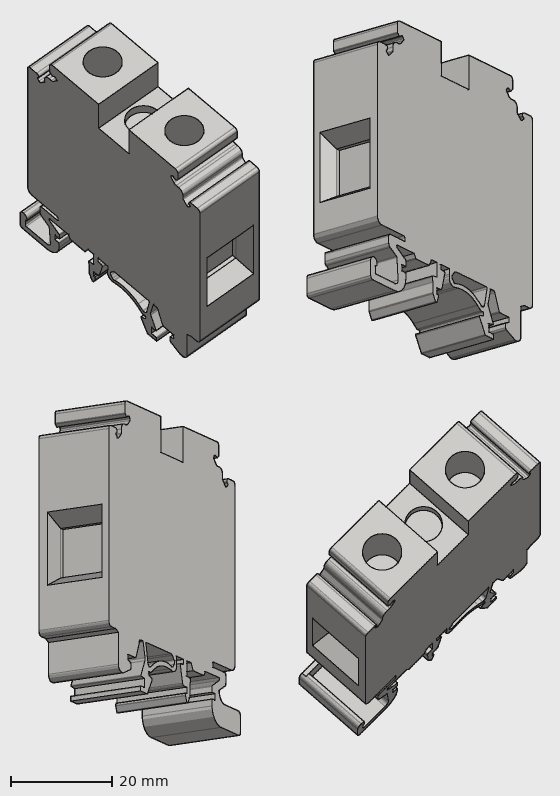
import cadquery as cq
import math

height = 58.0
width = 15.9
body_left = 2.2
body_right = 52.7
body_centre = (body_left + body_right) / 2
mid_width = width / 2

underside = 10.45
root = underside + 0.6

notch_width = 8.9
notch_floor = 50.65

screw_hole_diameter = 7.7
screw_hole_depth = 11.6
screw_hole_spacing = 23.9
bridge_hole_diameter = 7.4
bridge_hole_depth = 2.05

funnel_bottom = 20.5
funnel_top = 35.45
funnel_mouth_width = 12.4
funnel_throat_bottom = 22.8
funnel_throat_top = 32.9
funnel_throat_width = 10.45
funnel_depth = 3.95
funnel_mouth_offset = 0.2
throat_depth = 0.9

tray_wall = 1.05
tray_rim = 5.0
tray_back = 8.5
wall_sweep = 2.3
wall_overlap = 0.85


def rounded_outline(corners):
    """Closed XZ outline from (x, z, corner radius) triples; radius 0 is a sharp corner."""
    path = None
    count = len(corners)
    for i, (x, z, radius) in enumerate(corners):
        corner = cq.Vector(x, z, 0)
        before = cq.Vector(*corners[i - 1][:2], 0)
        after = cq.Vector(*corners[(i + 1) % count][:2], 0)
        back = (before - corner).normalized()
        ahead = (after - corner).normalized()
        half_angle = back.getAngle(ahead) / 2
        reach = radius / math.tan(half_angle)
        start = corner + back * reach
        if path is None:
            path = cq.Workplane("XZ").moveTo(start.x, start.y)
        else:
            path = path.lineTo(start.x, start.y)
        if radius > 0:
            bisector = (back + ahead).normalized()
            middle = corner + bisector * (radius / math.sin(half_angle) - radius)
            end = corner + ahead * reach
            path = path.threePointArc((middle.x, middle.y), (end.x, end.y))
    return path.close()


def across_width(corners):
    """Extrude a rounded outline over the full width, towards +Y."""
    return rounded_outline(corners).extrude(-width)


def make_body():
    shoulder = [
        (body_left, 51.5, 0.8),
        (5.5, 51.5, 0.65),
        (5.5, 50.65, 0.2),
        (5.0, 50.3, 0.2),
        (5.85, 49.4, 0.4),
        (7.2, 50.75, 0.35),
        (7.2, 53.05, 1.35),
        (9.55, 53.05, 0.85),
        (10.85, 54.45, 0.25),
        (10.2, 55.15, 0.3),
        (9.4, 54.65, 0.2),
        (8.7, 55.3, 0.25),
        (8.7, height, 0.75),
    ]
    mirrored_shoulder = [(2 * body_centre - x, z, r) for x, z, r in reversed(shoulder)]
    notch_left = body_centre - notch_width / 2
    notch_right = body_centre + notch_width / 2
    notch = [
        (notch_left, height, 0),
        (notch_left, notch_floor, 0),
        (notch_right, notch_floor, 0),
        (notch_right, height, 0),
    ]
    bottom = [
        (body_right, underside, 1.05),
        (19.85, underside, 0),
        (19.0, 9.0, 0),
        (14.7, 9.0, 0.25),
        (14.15, 10.0, 0),
        (11.1, 10.0, 0),
        (11.1, 12.65, 0.35),
        (body_left, 12.65, 1.45),
    ]
    return across_width(shoulder + notch + mirrored_shoulder + bottom)


def make_tray_foot():
    foot = across_width([
        (11.9, 11.55, 0),
        (5.85, 11.55, 0.5),
        (5.85, 9.0, 0.9),
        (tray_back, 7.4, 0.25),
        (9.0, 1.55, 1.0),
        (1.55, 1.55, 0.25),
        (1.55, 3.3, 0.2),
        (2.05, 3.5, 0.1),
        (2.05, tray_rim, 1.0),
        (0.0, tray_rim, 1.0),
        (0.0, 0.0, 0.75),
        (11.35, 0.0, 3.6),
        (11.4, 5.0, 0.1),
        (10.2, 5.0, 0),
        (10.2, 6.3, 0),
        (11.55, 6.3, 0),
        (11.55, 7.6, 0.2),
        (8.5, 9.45, 0.25),
        (8.5, 10.0, 0.2),
        (11.9, 10.0, 0),
    ])
    wall_top = tray_rim + wall_sweep
    wall_back = tray_back + wall_overlap
    far_wall = (
        cq.Workplane("XZ", origin=(0, width - tray_wall, 0))
        .moveTo(wall_overlap, wall_overlap)
        .lineTo(wall_overlap, tray_rim)
        .lineTo(tray_back - wall_sweep, tray_rim)
        .radiusArc((tray_back, wall_top), -wall_sweep)
        .lineTo(wall_back, wall_top)
        .lineTo(wall_back, wall_overlap)
        .close()
        .extrude(-tray_wall)
    )
    return foot.union(far_wall)


def make_latch():
    return across_width([
        (21.5, root, 0),
        (21.5, 7.3, 0),
        (20.0, 7.15, 0.25),
        (20.25, 5.8, 0),
        (20.25, 3.5, 0.45),
        (21.1, 1.9, 0.1),
        (21.5, 1.9, 0.1),
        (22.05, 3.25, 0.2),
        (21.9, 3.75, 0),
        (21.5, 3.75, 0),
        (21.5, 5.05, 0),
        (23.1, 5.05, 0.6),
        (24.25, 9.35, 0.4),
        (22.8, 9.35, 0.35),
        (22.8, 10.45, 0.3),
        (23.25, root, 0),
    ])


def make_spring_foot():
    outer = across_width([
        (25.7, root, 0),
        (25.7, 9.3, 0.35),
        (25.2, 6.65, 1.5),
        (31.95, 7.7, 8.1),
        (35.85, 4.7, 0.1),
        (36.7, 4.75, 0.2),
        (36.7, 3.95, 0.35),
        (35.25, 3.55, 0.25),
        (37.3, 0.0, 0.25),
        (40.0, 0.0, 0),
        (40.0, 1.05, 0.2),
        (38.45, 1.1, 0),
        (38.45, 2.9, 0),
        (39.95, 3.1, 0.1),
        (38.15, 6.85, 0.85),
        (39.05, 10.45, 0.45),
        (39.75, root, 0),
    ])
    window = across_width([
        (27.55, underside, 0.7),
        (37.95, underside, 0.3),
        (36.9, 5.55, 0.75),
        (36.0, 5.85, 0.35),
        (31.5, 9.0, 8.1),
        (27.25, 7.8, 0.35),
        (26.2, 9.0, 0.7),
    ])
    return outer.cut(window)


def make_fixed_foot():
    return across_width([
        (39.45, root, 0),
        (39.45, underside, 0),
        (40.25, underside, 0.6),
        (41.9, 6.3, 0.3),
        (45.0, 6.3, 0),
        (45.0, 5.2, 0.2),
        (43.9, 4.8, 0.2),
        (43.9, 3.5, 0.45),
        (46.9, 2.1, 0.45),
        (48.9, 2.1, 1.35),
        (48.9, 9.9, 0),
        (50.0, underside, 0),
        (50.0, root, 0),
    ])


def make_hole(x, diameter, opening_height, depth):
    """Blind vertical hole on the middle of the width."""
    return (
        cq.Workplane("XY", origin=(x, mid_width, opening_height - depth))
        .circle(diameter / 2)
        .extrude(depth)
    )


def make_funnel():
    """Tapered pocket in the left end face, ending in a short straight throat."""
    mouth_height = funnel_top - funnel_bottom
    throat_height = funnel_throat_top - funnel_throat_bottom
    mouth_centre = (funnel_bottom + funnel_top) / 2
    throat_centre = (funnel_throat_bottom + funnel_throat_top) / 2
    taper = (
        cq.Workplane("YZ", origin=(body_left, mid_width, 0))
        .center(funnel_mouth_offset, mouth_centre)
        .rect(funnel_mouth_width, mouth_height)
        .workplane(offset=funnel_depth)
        .center(-funnel_mouth_offset, throat_centre - mouth_centre)
        .rect(funnel_throat_width, throat_height)
        .loft(ruled=True)
    )
    throat = (
        cq.Workplane("YZ", origin=(body_left + funnel_depth, mid_width, throat_centre))
        .rect(funnel_throat_width, throat_height)
        .extrude(throat_depth)
    )
    return taper.union(throat)


result = make_body()
for foot in (make_tray_foot(), make_latch(), make_spring_foot(), make_fixed_foot()):
    result = result.union(foot)

for side in (-1, 1):
    screw_x = body_centre + side * screw_hole_spacing / 2
    result = result.cut(make_hole(screw_x, screw_hole_diameter, height, screw_hole_depth))
bridge_hole = make_hole(body_centre, bridge_hole_diameter, notch_floor, bridge_hole_depth)
result = result.cut(bridge_hole)

left_funnel = make_funnel()
right_funnel = left_funnel.mirror("YZ", (body_centre, 0, 0))
result = result.cut(left_funnel).cut(right_funnel)